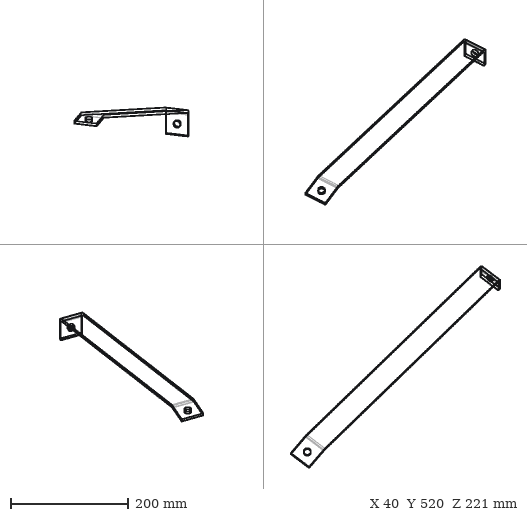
import cadquery as cq
import math

length = 520.0
height = 221.0
width = 40.0
thickness = 5.0
inner_radius = 5.0
tab_length = width
hole_diameter = 12.0

outer_radius = inner_radius + thickness
hole_inset = tab_length / 2

low_center = (length - outer_radius, tab_length)
high_center = (tab_length, height - outer_radius)
slope = math.atan2(high_center[1] - low_center[1], low_center[0] - high_center[0])
slope_normal = math.pi / 2 - slope


def on_bend(center, radius, angle):
    """Point of a bend in the YZ plane, with the angle measured from +Y."""
    return (
        center[0] + radius * math.cos(angle),
        center[1] + radius * math.sin(angle),
    )


def bar_profile():
    """Side outline: vertical tab, sloped bar and horizontal tab."""
    low_mid = slope_normal / 2
    high_mid = (slope_normal + math.pi / 2) / 2
    return (
        cq.Workplane("YZ")
        .moveTo(length, 0)
        .lineTo(*on_bend(low_center, outer_radius, 0))
        .threePointArc(
            on_bend(low_center, outer_radius, low_mid),
            on_bend(low_center, outer_radius, slope_normal),
        )
        .lineTo(*on_bend(high_center, outer_radius, slope_normal))
        .threePointArc(
            on_bend(high_center, outer_radius, high_mid),
            on_bend(high_center, outer_radius, math.pi / 2),
        )
        .lineTo(0, height)
        .lineTo(0, height - thickness)
        .lineTo(*on_bend(high_center, inner_radius, math.pi / 2))
        .threePointArc(
            on_bend(high_center, inner_radius, high_mid),
            on_bend(high_center, inner_radius, slope_normal),
        )
        .lineTo(*on_bend(low_center, inner_radius, slope_normal))
        .threePointArc(
            on_bend(low_center, inner_radius, low_mid),
            on_bend(low_center, inner_radius, 0),
        )
        .lineTo(length - thickness, 0)
        .close()
    )


def tab_hole(start, direction):
    """Cutter for a hole through one tab, centred across the bar width."""
    return cq.Workplane(
        cq.Solid.makeCylinder(
            hole_diameter / 2, thickness, cq.Vector(*start), cq.Vector(*direction)
        )
    )


bar = bar_profile().extrude(width / 2, both=True)
vertical_tab_hole = tab_hole((0, length - thickness, hole_inset), (0, 1, 0))
horizontal_tab_hole = tab_hole((0, hole_inset, height - thickness), (0, 0, 1))

result = bar.cut(vertical_tab_hole).cut(horizontal_tab_hole)